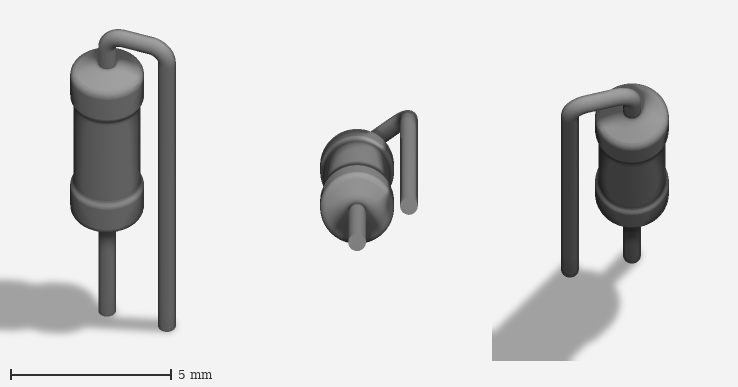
import cadquery as cq

total_height = 12.0
lead_radius = 0.28
lead_pitch = 1.99
bend_radius = 0.54

body_bottom = 4.0
body_length = 6.5
body_radius = 1.05
cap_radius = 1.15
cap_outer_height = 2.93
cap_inner_height = 1.86
neck_height = 1.68
shoulder_round = 0.24
neck_round = 0.18

body_half = body_length / 2
body_middle = body_bottom + body_half


def make_body():
    """Revolved body with a coned, rounded cap at each end."""
    upper_profile = [
        (body_radius, neck_height),
        (cap_radius, cap_inner_height),
        (cap_radius, cap_outer_height),
        (lead_radius, body_half),
        (0, body_half),
    ]
    lower_profile = [(radius, -height) for radius, height in reversed(upper_profile)]
    body = (
        cq.Workplane("XZ")
        .polyline(lower_profile + upper_profile)
        .close()
        .revolve(360, (0, 0, 0), (0, 1, 0))
    )
    rounded_corners = [
        (cap_radius, cap_outer_height, shoulder_round),
        (cap_radius, cap_inner_height, neck_round),
        (body_radius, neck_height, neck_round),
    ]
    margin = 0.01
    for radius, height, rounding in rounded_corners:
        for side in (-1, 1):
            level = side * height
            corner_box = cq.selectors.BoxSelector(
                (-radius - margin, -radius - margin, level - margin),
                (radius + margin, radius + margin, level + margin),
                boundingbox=True,
            )
            body = body.edges(corner_box).fillet(rounding)
    return body.translate((0, 0, body_middle))


def make_lead():
    """Continuous wire through the body, over the top and back down."""
    bridge_height = total_height - lead_radius
    bend_height = bridge_height - bend_radius
    path = (
        cq.Workplane("XZ")
        .lineTo(0, bend_height)
        .tangentArcPoint((bend_radius, bridge_height), relative=False)
        .lineTo(lead_pitch - bend_radius, bridge_height)
        .tangentArcPoint((lead_pitch, bend_height), relative=False)
        .lineTo(lead_pitch, 0)
    )
    return cq.Workplane("XY").circle(lead_radius).sweep(path)


result = make_body().union(make_lead())